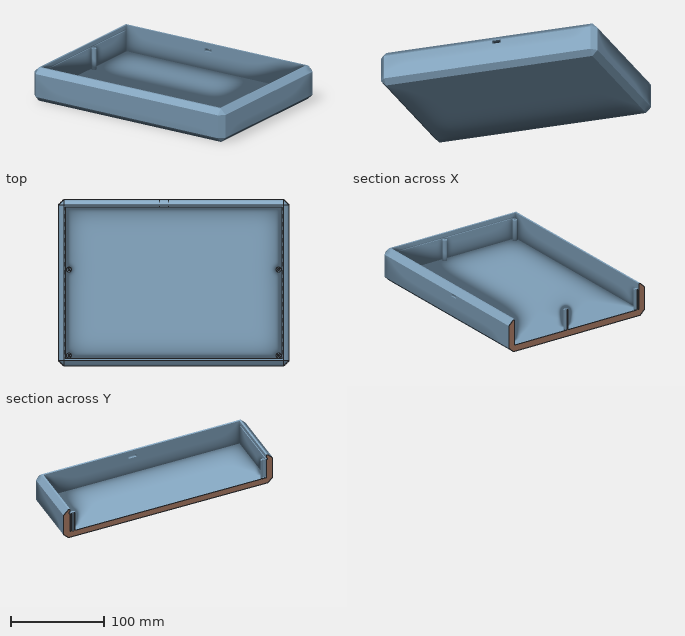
import cadquery as cq

length = 248.0
width = 179.0
height = 38.0
edge_chamfer = 6.0
wall = 8.0
floor_thickness = 8.0
cavity_length = length - 2 * wall
cavity_width = width - 2 * wall

groove_top_z = height - 4.5
groove_height = 1.5
groove_depth = 1.0
groove_end_gap = 1.0

post_diameter = 5.2
post_hole_diameter = 2.0
post_wall_distance = 3.5
post_x = cavity_length / 2 - post_wall_distance
front_post_y = -cavity_width / 2 + post_wall_distance
rear_post_y = 14.1
post_height = groove_top_z - groove_height - floor_thickness

opening_length = 9.5
opening_height = 3.5
opening_center_x = -10.5
opening_top_z = height - 6.2


def make_tray():
    """Block with every outer edge chamfered, hollowed from the top."""
    block = cq.Workplane("XY").box(length, width, height, centered=(True, True, False))
    block = block.edges().chamfer(edge_chamfer)
    cavity = (
        cq.Workplane("XY", origin=(0, 0, floor_thickness))
        .rect(cavity_length, cavity_width)
        .extrude(height - floor_thickness)
    )
    return block.cut(cavity)


def cut_end_grooves(body):
    """One box spanning the cavity, with its ends sunk into both end walls."""
    groove_box = (
        cq.Workplane("XY", origin=(0, 0, groove_top_z - groove_height))
        .rect(cavity_length + 2 * groove_depth, cavity_width - 2 * groove_end_gap)
        .extrude(groove_height)
    )
    return body.cut(groove_box)


def cut_cable_opening(body):
    """Rectangular opening through the full thickness of the rear wall."""
    wall_center_y = (width - wall) / 2
    opening = (
        cq.Workplane("XY", origin=(opening_center_x, wall_center_y, opening_top_z - opening_height))
        .rect(opening_length, wall)
        .extrude(opening_height)
    )
    return body.cut(opening)


def add_posts(body):
    """Four posts, each with a blind hole down to the cavity floor."""
    centers = [(x, y) for x in (-post_x, post_x) for y in (front_post_y, rear_post_y)]
    layout = cq.Workplane("XY", origin=(0, 0, floor_thickness)).pushPoints(centers)
    posts = layout.circle(post_diameter / 2).extrude(post_height)
    holes = layout.circle(post_hole_diameter / 2).extrude(post_height)
    return body.union(posts).cut(holes)


tray = make_tray()
tray = cut_end_grooves(tray)
tray = cut_cable_opening(tray)
result = add_posts(tray)